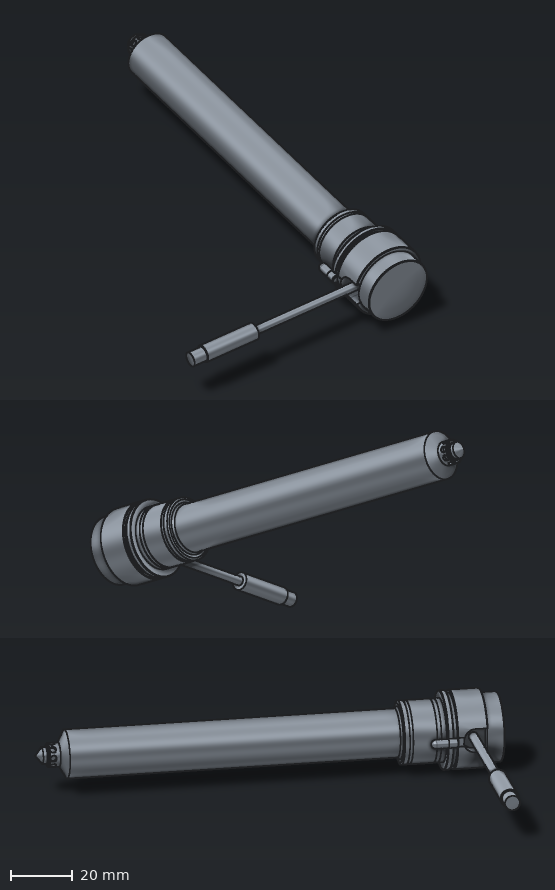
import cadquery as cq
import math


tip_cone_length = 2.3
tip_radius = 2.8
tip_lip_start = 3.6
tip_lip_radius = 3.0
nose_start = 4.0
nose_radius = 4.0
nose_chamfer = 0.3
nose_end = 7.8
nose_hole_count = 8
nose_hole_radius = 1.05
nose_hole_depth = 1.0
nose_hole_x = 5.4
tube_start = 10.1
tube_radius = 8.05
collar_lip_start = 119.2
collar_lip_radius = 8.7
collar_start = 120.0
collar_radius = 10.5
collar_chamfer_length = 0.3
collar_chamfer_height = 0.8
collar_groove_depth = 0.1
collar_grooves = [(121.9, 123.0), (130.9, 132.3)]

ring_start = 134.0
ring_end = 135.9
housing_radius = 13.0
neck_radius = 12.0
sleeve_start = 137.2
sleeve_end = 147.2
housing_chamfer = 0.2

cap_start = sleeve_end
cap_radius = 11.5
cap_chamfer = 0.2
total_length = 153.0

cable_x = 143.2
cable_radius = 1.5
plug_start = 50.0
plug_radius = 3.0
plug_end = 70.0
contact_radius = 2.5
contact_end = 75.0
cable_slot_radius = 4.0
cable_slot_floor = 8.0

pin_start = 128.3
pin_end = ring_start
pin_radius = 1.5
pin_offset = 13.5
lug_chamfer = 0.3
pad_width = 2 * pin_radius
pad_height = 13.05


def revolve_about_x(profile):
    """Turn a closed (x, radius) outline into a solid of revolution about X."""
    return cq.Workplane("XY").polyline(profile).close().revolve(360, (0, 0, 0), (1, 0, 0))


def tube_between(start, end, outer_radius, inner_radius):
    """Ring about X, used for cutting shallow grooves."""
    section = cq.Workplane("YZ", origin=(start, 0, 0)).circle(outer_radius).circle(inner_radius)
    return section.extrude(end - start)


def make_barrel():
    barrel = revolve_about_x([
        (0, 0),
        (tip_cone_length, tip_radius),
        (tip_lip_start, tip_radius),
        (tip_lip_start, tip_lip_radius),
        (nose_start, tip_lip_radius),
        (nose_start, nose_radius - nose_chamfer),
        (nose_start + nose_chamfer, nose_radius),
        (nose_end, nose_radius),
        (tube_start, tube_radius),
        (collar_lip_start, tube_radius),
        (collar_start, collar_lip_radius),
        (collar_start, collar_radius - collar_chamfer_height),
        (collar_start + collar_chamfer_length, collar_radius),
        (ring_start, collar_radius),
        (ring_start, 0),
    ])
    for groove_start, groove_end in collar_grooves:
        groove_floor = collar_radius - collar_groove_depth
        barrel = barrel.cut(tube_between(groove_start, groove_end, collar_radius, groove_floor))
    hole_floor = nose_radius - nose_hole_depth
    hole_plane = cq.Workplane("XY", origin=(nose_hole_x, 0, hole_floor))
    hole = hole_plane.circle(nose_hole_radius).extrude(nose_radius)
    for index in range(nose_hole_count):
        angle = index * 360 / nose_hole_count
        barrel = barrel.cut(hole.rotate((0, 0, 0), (1, 0, 0), angle))
    return barrel


def make_pin():
    """Round pin with a hemispherical front end."""
    nose_centre = pin_start + pin_radius
    nose_mid = pin_radius * math.sqrt(0.5)
    profile = (
        cq.Workplane("XY")
        .moveTo(pin_start, 0)
        .threePointArc((nose_centre - nose_mid, nose_mid), (nose_centre, pin_radius))
        .lineTo(pin_end, pin_radius)
        .lineTo(pin_end, 0)
        .close()
    )
    return profile.revolve(360, (0, 0, 0), (1, 0, 0)).translate((0, -pin_offset, 0))


def make_lug():
    lug_plane = cq.Workplane("YZ", origin=(ring_start, -pin_offset, 0))
    lug = lug_plane.circle(pin_radius).extrude(sleeve_start - ring_start)
    return lug.faces(">X").chamfer(lug_chamfer)


def make_cable():
    plane = cq.Workplane("XZ", origin=(cable_x, 0, 0))
    cable_length = plug_start - cable_slot_floor
    cable = plane.workplane(offset=cable_slot_floor).circle(cable_radius).extrude(cable_length)
    plug = plane.workplane(offset=plug_start).circle(plug_radius).extrude(plug_end - plug_start)
    contact = plane.workplane(offset=plug_end).circle(contact_radius).extrude(contact_end - plug_end)
    return cable.union(plug).union(contact)


def make_housing():
    housing = revolve_about_x([
        (ring_start, 0),
        (ring_start, housing_radius - housing_chamfer),
        (ring_start + housing_chamfer, housing_radius),
        (ring_end - housing_chamfer, housing_radius),
        (ring_end, housing_radius - housing_chamfer),
        (ring_end, neck_radius),
        (sleeve_start, neck_radius),
        (sleeve_start, housing_radius - housing_chamfer),
        (sleeve_start + housing_chamfer, housing_radius),
        (sleeve_end - housing_chamfer, housing_radius),
        (sleeve_end, housing_radius - housing_chamfer),
        (sleeve_end, 0),
    ])
    pad_length = cable_x - sleeve_start
    pad = cq.Workplane("XY").box(pad_length, pad_height, pad_width, centered=(False, False, True))
    housing = housing.union(pad.translate((sleeve_start, -pad_height, 0)))

    slot_plane = cq.Workplane("XZ", origin=(cable_x, -cable_slot_floor, 0))
    slot_depth = housing_radius
    slot = slot_plane.circle(cable_slot_radius).extrude(slot_depth)
    open_side = slot_plane.rect(2 * cable_slot_radius, 2 * cable_slot_radius).extrude(slot_depth)
    open_side = open_side.translate((cable_slot_radius, 0, 0))
    return housing.cut(slot).cut(open_side).union(make_lug())


def make_end_cap():
    return revolve_about_x([
        (cap_start, 0),
        (cap_start, cap_radius),
        (total_length - cap_chamfer, cap_radius),
        (total_length, cap_radius - cap_chamfer),
        (total_length, 0),
    ])


barrel = make_barrel()
housing = make_housing()
end_cap = make_end_cap()
pin = make_pin()
cable = make_cable()

result = cq.Compound.makeCompound([barrel.val(), housing.val(), end_cap.val(), pin.val(), cable.val()])